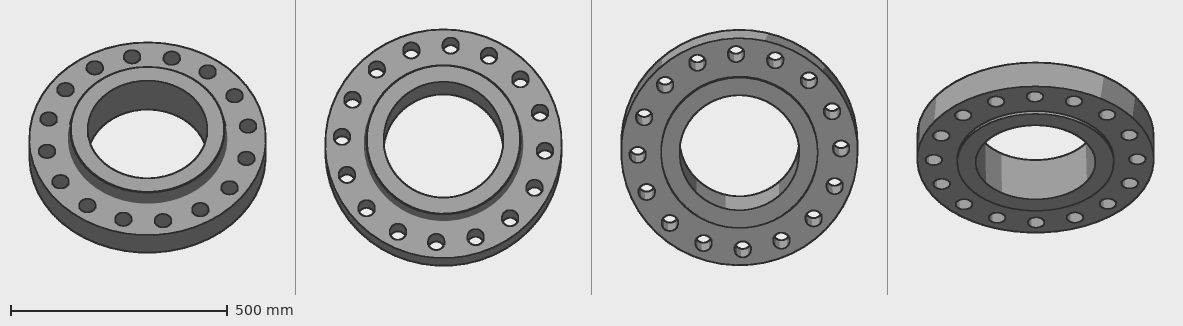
import cadquery as cq

flange_diameter = 546.0
flange_thickness = 70.5
bore_diameter = 276.0

raised_face_diameter = 361.5
raised_face_height = 8.0

hub_base_diameter = 368.0
hub_top_diameter = 356.0
hub_height = 37.0
hub_edge_chamfer = 1.35
hub_root_fillet = 1.35

bolt_hole_count = 16
bolt_hole_diameter = 38.0
bolt_circle_diameter = 469.5

flange_bottom = raised_face_height
flange_top = flange_bottom + flange_thickness
hub_top = flange_top + hub_height


def make_disc(diameter, bottom, height):
    return cq.Workplane("XY").workplane(offset=bottom).circle(diameter / 2).extrude(height)


def make_hub():
    return (
        cq.Workplane("XY")
        .workplane(offset=flange_top)
        .circle(hub_base_diameter / 2)
        .workplane(offset=hub_height)
        .circle(hub_top_diameter / 2)
        .loft(ruled=True)
        .faces(">Z")
        .edges()
        .chamfer(hub_edge_chamfer)
    )


def make_bolt_holes():
    return (
        cq.Workplane("XY")
        .polarArray(bolt_circle_diameter / 2, 0, 360, bolt_hole_count)
        .circle(bolt_hole_diameter / 2)
        .extrude(flange_top)
    )


plate_and_hub = make_disc(flange_diameter, flange_bottom, flange_thickness).union(make_hub())
plate_top_face = plate_and_hub.faces("<Z[1]")
body = plate_top_face.edges(cq.selectors.RadiusNthSelector(0)).fillet(hub_root_fillet)

body = body.union(make_disc(raised_face_diameter, 0, raised_face_height))
result = body.cut(make_disc(bore_diameter, 0, hub_top)).cut(make_bolt_holes())